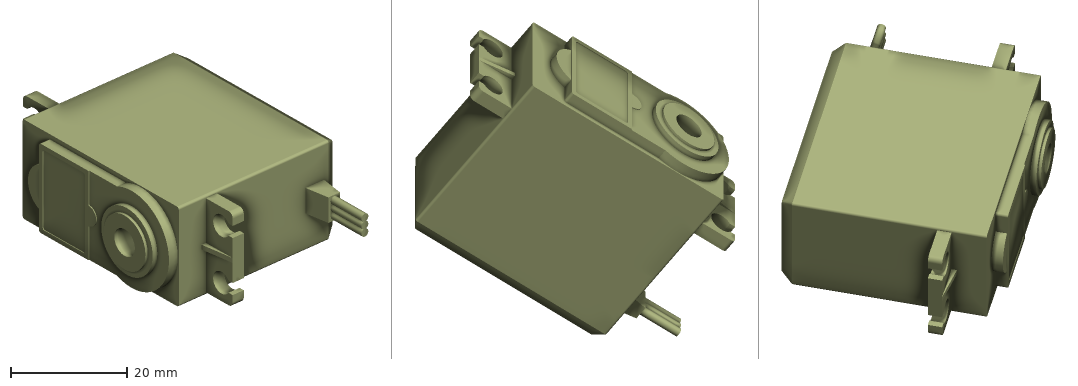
import cadquery as cq


case_length = 40.5
case_height = 19.8
case_depth = 36.6
case_edge_radius = 0.5
back_bevel_depth = 2.2
back_bevel_inset = 1.4

ear_tip = 27.2
ear_height = 18.75
ear_front = 6.2
ear_thickness = 2.55
ear_corner_radius = 1.0
ear_overlap = 0.6
screw_x = 24.3
screw_z = 5.7
screw_radius = 2.2
screw_slot_width = 2.4
rib_width = 0.95
rib_rise = 0.95

plate_left = -13.55
plate_height = 17.8
plate_thickness = 2.0
plate_corner_radius = 0.5
shaft_x = 10.3
shaft_boss_radius = 9.7
side_disc_x = -11.7
side_disc_radius = 4.9

panel_right = -0.7
panel_rise = 0.2
panel_tab_radius = 2.0
panel_tab_blend = 0.25
recess_margin = 0.9
recess_depth = 0.2
recess_corner_radius = 0.5

collar_radius = 6.65
collar_front = 3.1
collar_step_radius = 5.4
collar_step_front = 3.6
shaft_hole_radius = 2.65
shaft_hole_depth = 7.25

cable_y = 31.25
relief_tip = 25.25
relief_base_thickness = 4.25
relief_tip_thickness = 2.65
relief_width = 5.1
wire_count = 3
wire_radius = 0.8
wire_pitch = 1.5
overall_length = 60.45
wire_end = overall_length - ear_tip


def front_plane(y):
    """Sketch plane facing -Y at the given depth: local x is X, local y is Z."""
    return cq.Workplane("XZ", origin=(0, y, 0))


def forward_cylinder(x, radius, front):
    """Cylinder reaching from the front face of the case out to -front."""
    return front_plane(0).center(x, 0).circle(radius).extrude(front)


def make_case():
    """Rounded block whose back end tapers in on all four sides."""
    straight_depth = case_depth - back_bevel_depth
    shoulder = (case_length, case_height)
    back = (case_length - 2 * back_bevel_inset, case_height - 2 * back_bevel_inset)
    block = front_plane(0).rect(*shoulder).extrude(-straight_depth)
    taper = (
        front_plane(straight_depth)
        .rect(*shoulder)
        .workplane(offset=-back_bevel_depth)
        .rect(*back)
        .loft(ruled=True)
    )
    case = block.union(taper)
    lengthwise_edges = case.edges("not(|X or |Z)")
    return lengthwise_edges.fillet(case_edge_radius)


def make_right_ear():
    """Slotted mounting ear on the +X side with its tapering rib."""
    inner = case_length / 2 - ear_overlap
    back = ear_front + ear_thickness
    ear = (
        front_plane(back)
        .center((inner + ear_tip) / 2, 0)
        .rect(ear_tip - inner, ear_height)
        .extrude(ear_thickness)
        .edges("|Y and >X")
        .fillet(ear_corner_radius)
    )
    screws = front_plane(back).pushPoints([(screw_x, screw_z), (screw_x, -screw_z)])
    slot_length = 2 * (ear_tip - screw_x)
    slots = (
        front_plane(back)
        .pushPoints([(ear_tip, screw_z), (ear_tip, -screw_z)])
        .rect(slot_length, screw_slot_width)
        .extrude(ear_thickness)
    )
    ear = ear.cut(screws.circle(screw_radius).extrude(ear_thickness)).cut(slots)
    slope = rib_rise / (ear_tip - case_length / 2)
    rib = (
        cq.Workplane("XY")
        .polyline(
            [
                (ear_tip, ear_front),
                (inner, ear_front - slope * (ear_tip - inner)),
                (inner, back),
                (ear_tip, back),
            ]
        )
        .close()
        .extrude(rib_width / 2, both=True)
    )
    return ear.union(rib)


def make_front_plate():
    """Plate with a round end around the shaft and a disc showing past its left edge."""
    plate = (
        front_plane(0)
        .center((plate_left + shaft_x) / 2, 0)
        .rect(shaft_x - plate_left, plate_height)
        .extrude(plate_thickness)
        .edges("|Y and <X")
        .fillet(plate_corner_radius)
    )
    shaft_boss = forward_cylinder(shaft_x, shaft_boss_radius, plate_thickness)
    side_disc = forward_cylinder(side_disc_x, side_disc_radius, plate_thickness)
    return plate.union(shaft_boss).union(side_disc)


def make_panel():
    """Panel with a rounded tab on its right edge, and the recess to cut in its front."""
    front = plate_thickness + panel_rise
    panel_length = panel_right - plate_left
    panel_x = (plate_left + panel_right) / 2
    panel = (
        front_plane(0)
        .center(panel_x, 0)
        .rect(panel_length, plate_height)
        .extrude(front)
        .edges("|Y and <X")
        .fillet(plate_corner_radius)
    )
    tab = forward_cylinder(panel_right, panel_tab_radius, front)
    tab_roots = cq.selectors.BoxSelector(
        (panel_right - panel_tab_blend, -front, -panel_tab_radius - panel_tab_blend),
        (panel_right + panel_tab_blend, 0, panel_tab_radius + panel_tab_blend),
    )
    panel = panel.union(tab).edges(tab_roots).fillet(panel_tab_blend)
    recess = (
        front_plane(recess_depth - front)
        .center(panel_x, 0)
        .rect(panel_length - 2 * recess_margin, plate_height - 2 * recess_margin)
        .extrude(recess_depth)
        .edges("|Y")
        .fillet(recess_corner_radius)
    )
    return panel, recess


def make_collar():
    """Two-step collar around the output shaft."""
    collar = forward_cylinder(shaft_x, collar_radius, collar_front)
    return collar.union(forward_cylinder(shaft_x, collar_step_radius, collar_step_front))


def make_cable():
    """Tapering strain relief on the +X side with a flat row of round wires."""
    root = case_length / 2
    relief = (
        cq.Workplane("XY")
        .polyline(
            [
                (root, cable_y - relief_base_thickness / 2),
                (relief_tip, cable_y - relief_tip_thickness / 2),
                (relief_tip, cable_y + relief_tip_thickness / 2),
                (root, cable_y + relief_base_thickness / 2),
            ]
        )
        .close()
        .extrude(relief_width / 2, both=True)
    )
    cable = relief
    for index in range(wire_count):
        wire_z = (index - (wire_count - 1) / 2) * wire_pitch
        wire = cq.Workplane("YZ", origin=(root, cable_y, wire_z)).circle(wire_radius)
        cable = cable.union(wire.extrude(wire_end - root))
    return cable


right_ear = make_right_ear()
left_ear = right_ear.mirror("YZ")
panel, panel_recess = make_panel()
shaft_hole = (
    front_plane(shaft_hole_depth - collar_step_front)
    .center(shaft_x, 0)
    .circle(shaft_hole_radius)
    .extrude(shaft_hole_depth)
)

result = (
    make_case()
    .union(right_ear)
    .union(left_ear)
    .union(make_front_plate())
    .union(panel)
    .union(make_collar())
    .union(make_cable())
    .cut(panel_recess)
    .cut(shaft_hole)
)